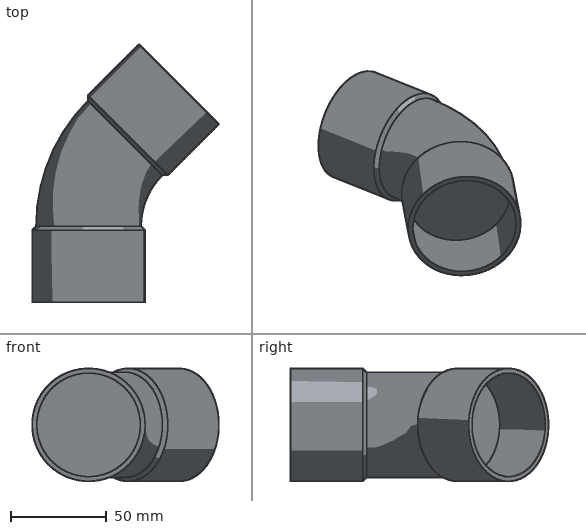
import cadquery as cq
import math

socket_diameter = 59.0
bore_diameter = 54.0
body_diameter = 54.9
socket_length = 39.7
bore_depth = 33.6
bend_radius = 65.0
bend_angle = 45.0
chamfer_size = (socket_diameter - body_diameter) / 2

bend_rad = math.radians(bend_angle)
bend_end = (
    bend_radius * (1 - math.cos(bend_rad)),
    bend_radius * math.sin(bend_rad),
    0,
)
end_direction = (math.sin(bend_rad), math.cos(bend_rad), 0)


def make_body():
    """Solid curved body, a round section turned about a Z-parallel axis."""
    return (
        cq.Workplane("XZ")
        .circle(body_diameter / 2)
        .revolve(bend_angle, (bend_radius, 0, 0), (bend_radius, -1, 0))
    )


def make_socket(origin, direction):
    """Socket running outward along direction, chamfered where it meets the body."""
    plane = cq.Plane(origin=origin, xDir=(0, 0, 1), normal=direction)
    return (
        cq.Workplane(plane)
        .circle(socket_diameter / 2)
        .extrude(socket_length)
        .faces(cq.selectors.DirectionMinMaxSelector(cq.Vector(*direction), False))
        .chamfer(chamfer_size)
    )


def make_bore(origin, direction):
    """Flat-bottomed bore entering from the open end of a socket."""
    plane = cq.Plane(origin=origin, xDir=(0, 0, 1), normal=direction)
    return (
        cq.Workplane(plane)
        .workplane(offset=socket_length - bore_depth)
        .circle(bore_diameter / 2)
        .extrude(bore_depth)
    )


result = make_body()
socket_ends = [((0, 0, 0), (0, -1, 0)), (bend_end, end_direction)]
for origin, direction in socket_ends:
    result = result.union(make_socket(origin, direction))
for origin, direction in socket_ends:
    result = result.cut(make_bore(origin, direction))